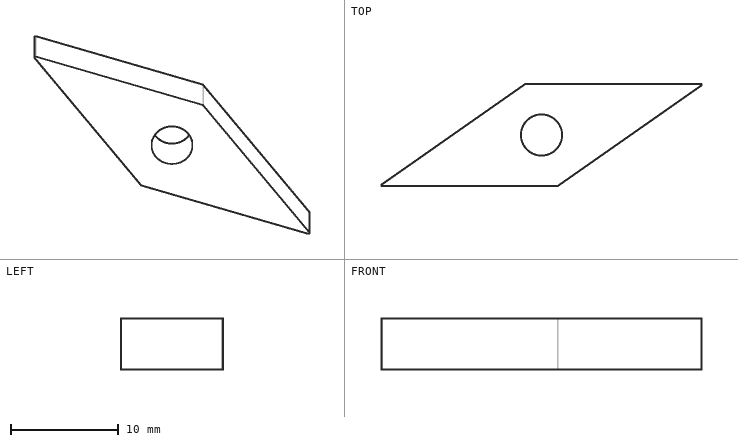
import cadquery as cq
import math

LENGTH = 29.78
THICKNESS = 4.75
HOLE_DIAMETER = 3.8
NOSE_ANGLE = math.radians(35)
NOSE_RADIUS = 0.098

tip_loss = NOSE_RADIUS / math.tan(NOSE_ANGLE / 2) - NOSE_RADIUS
sharp_length = LENGTH + 2 * tip_loss
side = sharp_length / (1 + math.cos(NOSE_ANGLE))
width = side * math.sin(NOSE_ANGLE)

half_length = sharp_length / 2
half_width = width / 2
obtuse_x = side - half_length

corners = [
    (-half_length, -half_width),
    (obtuse_x, -half_width),
    (half_length, half_width),
    (-obtuse_x, half_width),
]

plate = (
    cq.Workplane("XY")
    .workplane(offset=-THICKNESS / 2)
    .polyline(corners)
    .close()
    .extrude(THICKNESS)
    .edges("|Z")
    .fillet(NOSE_RADIUS)
)

result = plate.faces(">Z").workplane(origin=(0, 0, 0)).hole(HOLE_DIAMETER)